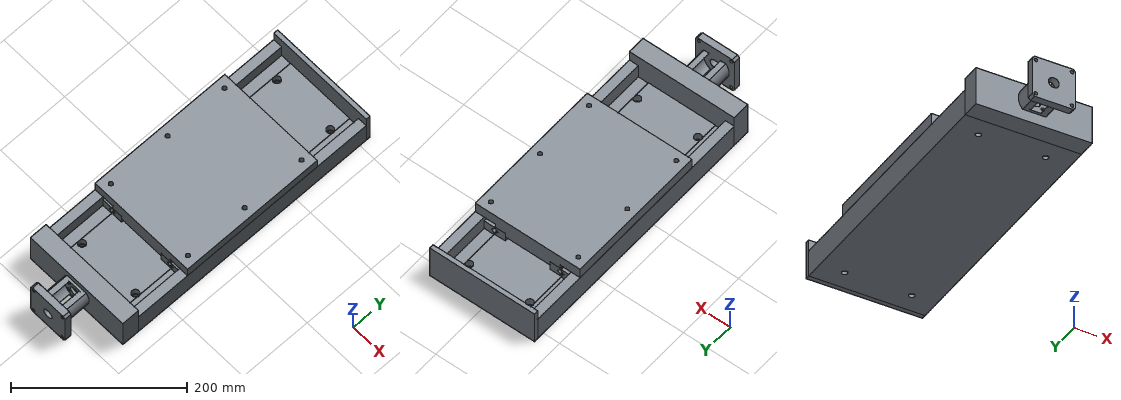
import cadquery as cq
import math


total_length = 432.0
stage_width = 152.5
stage_height = 51.0

base_length = 356.5
end_plate_thickness = 6.0
front_block_thickness = 24.5
flange_thickness = 9.5
neck_length = (
    total_length - end_plate_thickness - base_length - front_block_thickness - flange_thickness
)

wall_height = 35.5
wall_thickness = 13.0
seat_height = 14.5
floor_height = 15.5
floor_width = 97.5
mount_hole_pitch_x = 88.0
mount_hole_pitch_y = 305.0
mount_hole_diameter = 7.5
counterbore_diameter = 10.0
counterbore_depth = 10.5

rail_height = 14.0
rail_gap = 1.7
rail_lift = 1.5
groove_depth = 4.0
rail_length = 203.0
rail_pair_outer_x = stage_width / 2 - wall_thickness
base_rail_inner_x = floor_width / 2
rail_width = rail_pair_outer_x - base_rail_inner_x
table_rail_outer_x = base_rail_inner_x - rail_gap
table_rail_inner_x = table_rail_outer_x - rail_width
table_rail_bottom = seat_height + rail_lift
table_rail_top = table_rail_bottom + rail_height

table_length = rail_length
boss_bottom = 23.8
table_hole_diameter = 5.5
table_hole_pitch_x = 127.0
table_hole_pitch_y = 89.0

flange_size = 56.5
flange_top = 57.0
flange_chamfer = 3.0
motor_hole_pitch = 47.0
motor_hole_diameter = 4.5
bore_diameter = 14.0
neck_diameter = 41.5
neck_top_flat = 13.5
neck_bottom_flat = 14.3
cavity_diameter = 31.5
cavity_back_wall = 3.5
screw_hole_offset_x = 9.5
screw_hole_offset_z = 7.8
screw_hole_diameter = 4.5
mount_axis_z = flange_top - flange_size / 2

base_front_y = -base_length / 2
block_front_y = base_front_y - front_block_thickness
flange_back_y = block_front_y - neck_length


def box_between(x_range, y_range, z_range):
    """Box spanning the given (low, high) pairs."""
    (x0, x1), (y0, y1), (z0, z1) = x_range, y_range, z_range
    return cq.Workplane("XY").box(x1 - x0, y1 - y0, z1 - z0, centered=False).translate((x0, y0, z0))


def mirrored_profile(right_half):
    """Close a right-hand half outline with its mirror image about X = 0."""
    left_half = [(-x, z) for x, z in reversed(right_half)]
    return right_half + left_half


def extrude_along_y(points, length):
    """Prism with an XZ outline, centred on Y = 0."""
    return cq.Workplane("XZ").polyline(points).close().extrude(length / 2, both=True)


def make_base():
    half_width = stage_width / 2
    outline = mirrored_profile([
        (half_width, 0),
        (half_width, wall_height),
        (rail_pair_outer_x, wall_height),
        (rail_pair_outer_x, seat_height),
        (floor_width / 2, seat_height),
        (floor_width / 2, floor_height),
    ])
    return (
        extrude_along_y(outline, base_length)
        .copyWorkplane(cq.Workplane("XY", origin=(0, 0, floor_height)))
        .rarray(mount_hole_pitch_x, mount_hole_pitch_y, 2, 2)
        .cboreHole(mount_hole_diameter, counterbore_diameter, counterbore_depth)
    )


def make_cross_plate(y_range):
    """Full-width plate closing one end of the base."""
    return box_between((-stage_width / 2, stage_width / 2), y_range, (0, stage_height))


def make_table():
    half_width = stage_width / 2
    outline = mirrored_profile([
        (table_rail_inner_x, boss_bottom),
        (table_rail_inner_x, table_rail_top),
        (table_rail_outer_x, table_rail_top),
        (table_rail_outer_x, wall_height),
        (half_width, wall_height),
        (half_width, stage_height),
    ])
    return (
        extrude_along_y(outline, table_length)
        .copyWorkplane(cq.Workplane("XY", origin=(0, 0, stage_height)))
        .rarray(table_hole_pitch_x, table_hole_pitch_y, 2, 3)
        .circle(table_hole_diameter / 2).cutThruAll()
    )


def make_rail(back_x, groove_x, bottom):
    """Rail with a plain back at back_x and a 90-degree V groove in the face at groove_x."""
    inward = math.copysign(groove_depth, back_x - groove_x)
    middle = bottom + rail_height / 2
    top = bottom + rail_height
    outline = [
        (back_x, bottom),
        (groove_x, bottom),
        (groove_x, middle - groove_depth),
        (groove_x + inward, middle),
        (groove_x, middle + groove_depth),
        (groove_x, top),
        (back_x, top),
    ]
    return extrude_along_y(outline, rail_length)


def make_motor_mount():
    axis_plane = cq.Workplane("XZ", origin=(0, flange_back_y, mount_axis_z))
    flange = (
        axis_plane.rect(flange_size, flange_size).extrude(flange_thickness)
        .edges("|Y").chamfer(flange_chamfer)
    )
    neck = axis_plane.circle(neck_diameter / 2).extrude(-neck_length)
    flats = box_between(
        (-neck_diameter / 2, neck_diameter / 2),
        (flange_back_y, block_front_y),
        (mount_axis_z - neck_bottom_flat, mount_axis_z + neck_top_flat),
    )
    cavity = axis_plane.circle(cavity_diameter / 2).extrude(cavity_back_wall - neck_length)
    bore = axis_plane.circle(bore_diameter / 2).extrude(neck_length + flange_thickness, both=True)
    screw_holes = (
        axis_plane.rarray(2 * screw_hole_offset_x, 2 * screw_hole_offset_z, 2, 2)
        .circle(screw_hole_diameter / 2).extrude(-neck_length)
    )
    motor_holes = (
        axis_plane.rarray(motor_hole_pitch, motor_hole_pitch, 2, 2)
        .circle(motor_hole_diameter / 2).extrude(flange_thickness)
    )
    mount = flange.union(neck.intersect(flats))
    for opening in (cavity, bore, screw_holes, motor_holes):
        mount = mount.cut(opening)
    return mount


base = make_base()
end_plate = make_cross_plate((base_length / 2, base_length / 2 + end_plate_thickness))
front_block = make_cross_plate((block_front_y, base_front_y))
table = make_table()
motor_mount = make_motor_mount()

base_rails = []
table_rails = []
for side in (-1, 1):
    base_rails.append(make_rail(side * rail_pair_outer_x, side * base_rail_inner_x, seat_height))
    table_rails.append(make_rail(side * table_rail_inner_x, side * table_rail_outer_x, table_rail_bottom))

result = cq.Compound.makeCompound([
    base.val(),
    end_plate.val(),
    front_block.val(),
    table.val(),
    motor_mount.val(),
    *[rail.val() for rail in base_rails],
    *[rail.val() for rail in table_rails],
])